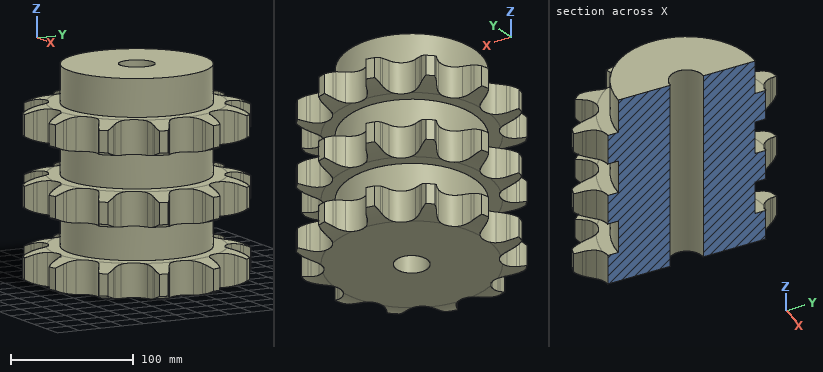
import cadquery as cq
import math


tooth_count = 12
pitch_radius = 86.0
roller_diameter = 27.9
seat_radius = 14.0
outer_width = 184.8
disc_count = 3
disc_thickness = 28.8
disc_spacing = 59.5
flank_start_radius = 74.0
flank_arc_radius = 44.3
hub_diameter = 125.0
bore_diameter = 30.0
total_height = 180.0

seat_angle = math.radians(35 + 60 / tooth_count)
working_sweep = math.radians(18 - 56 / tooth_count)
half_pitch_angle = math.pi / tooth_count
working_center_offset = 0.8 * roller_diameter
working_radius = working_center_offset + seat_radius
tip_center_offset = 1.4 * roller_diameter
straight_length = (
    tip_center_offset * math.sin(math.radians(17 - 64 / tooth_count))
    - working_center_offset * math.sin(working_sweep)
)


def point_at(center, radius, angle):
    return (center[0] + radius * math.cos(angle), center[1] + radius * math.sin(angle))


def mirrored(point):
    return (-point[0], point[1])


def tooth_gap():
    """Cutter for the gap on +Y (seat arc, concave flanks, flats, convex tips) and the tip radius."""
    seat_center = (0, pitch_radius)
    root = (0, pitch_radius - seat_radius)
    seat_end = point_at(seat_center, seat_radius, -seat_angle)

    working_center = point_at(seat_center, working_center_offset, math.pi - seat_angle)
    working_end_angle = working_sweep - seat_angle
    working_mid = point_at(working_center, working_radius, working_end_angle - working_sweep / 2)
    working_end = point_at(working_center, working_radius, working_end_angle)
    straight_end = point_at(working_end, straight_length, working_end_angle + math.pi / 2)

    tip_center = point_at(seat_center, tip_center_offset, -half_pitch_angle)
    tip_arc_radius = math.dist(tip_center, straight_end)
    tip_start_angle = working_end_angle + math.pi
    tip_end_angle = math.pi - math.asin((outer_width / 2 - tip_center[1]) / tip_arc_radius)
    tip_mid = point_at(tip_center, tip_arc_radius, (tip_start_angle + tip_end_angle) / 2)
    tip_end = point_at(tip_center, tip_arc_radius, tip_end_angle)
    tip_radius = math.hypot(*tip_end)
    beyond_tip = (tip_end[0], outer_width)

    cutter = (
        cq.Workplane("XY")
        .moveTo(*mirrored(seat_end))
        .threePointArc(root, seat_end)
        .threePointArc(working_mid, working_end)
        .lineTo(*straight_end)
        .threePointArc(tip_mid, tip_end)
        .lineTo(*beyond_tip)
        .lineTo(*mirrored(beyond_tip))
        .lineTo(*mirrored(tip_end))
        .threePointArc(mirrored(tip_mid), mirrored(straight_end))
        .lineTo(*mirrored(working_end))
        .threePointArc(mirrored(working_mid), mirrored(seat_end))
        .close()
        .extrude(disc_thickness)
    )
    return cutter, tip_radius


def toothed_disc():
    """Disc whose two faces curve inward toward the tooth tips, cut by the gaps."""
    def face_drop(radius):
        run = radius - flank_start_radius
        return flank_arc_radius - math.sqrt(flank_arc_radius**2 - run**2)

    gap, tip_radius = tooth_gap()
    mid_radius = (flank_start_radius + tip_radius) / 2
    mid_drop = face_drop(mid_radius)
    tip_drop = face_drop(tip_radius)
    disc = (
        cq.Workplane("XZ")
        .moveTo(0, 0)
        .lineTo(flank_start_radius, 0)
        .threePointArc((mid_radius, mid_drop), (tip_radius, tip_drop))
        .lineTo(tip_radius, disc_thickness - tip_drop)
        .threePointArc(
            (mid_radius, disc_thickness - mid_drop), (flank_start_radius, disc_thickness)
        )
        .lineTo(0, disc_thickness)
        .close()
        .revolve(360, (0, 0), (0, 1))
    )
    for index in range(tooth_count):
        disc = disc.cut(gap.rotate((0, 0, 0), (0, 0, 1), index * 360 / tooth_count))
    return disc


result = cq.Workplane("XY").circle(hub_diameter / 2).extrude(total_height)
disc = toothed_disc()
for level in range(disc_count):
    result = result.union(disc.translate((0, 0, level * disc_spacing)))
bore = cq.Workplane("XY").circle(bore_diameter / 2).extrude(total_height)
result = result.cut(bore)